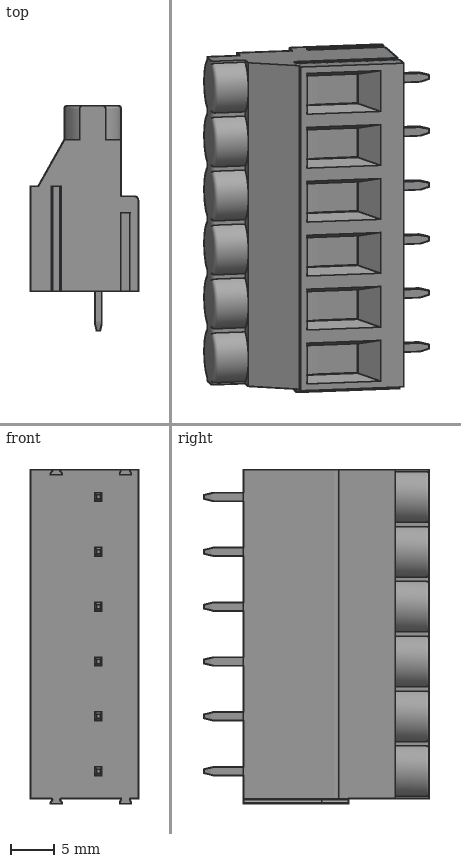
import cadquery as cq


pole_count = 6
pitch = 6.35
height = pole_count * pitch
pole_centres = [(i + 0.5) * pitch for i in range(pole_count)]

width = 12.5
shoulder_y = 12.2
slope_start_x = 0.9
head_base_y = 17.57
top_y = 21.5
back_step_y = 11.03
back_round = 0.5

head_radius = 3.3
head_back_x = 10.5
head_x = head_back_x - head_radius
head_front_x = head_x - head_radius
web_width = 3.0
head_round = 0.4

entry_low_y = 2.75
entry_high_y = 11.4
entry_height = 4.8
throat_low_y = 5.0
throat_height = 3.5
funnel_depth = 1.95
recess_depth = 2.45
ramp_low_y = 9.7

overall_height = 38.7
dovetail_depth = overall_height - height
lip_depth = 0.1
foot_depth = 0.15
front_dovetail_x = 2.98
front_mouth = 1.15
front_neck = 0.85
front_base = 1.35
back_dovetail_x = 11.0
back_mouth = 1.05
back_neck = 1.05
back_base = 1.35
back_dovetail_y = 9.1

pin_x = 7.85
pin_width = 0.8
pin_height = 1.0
pin_length = 4.55
tip_width = 0.43
tip_height = 0.45
width_taper = 0.8
height_taper = 1.12


def make_housing():
    return (
        cq.Workplane("XY")
        .lineTo(width, 0)
        .lineTo(width, back_step_y - back_round)
        .tangentArcPoint((-back_round, back_round))
        .lineTo(head_back_x, back_step_y)
        .lineTo(head_back_x, head_base_y)
        .lineTo(head_front_x, head_base_y)
        .lineTo(slope_start_x, shoulder_y)
        .lineTo(0, shoulder_y)
        .close()
        .extrude(height)
    )


def make_heads():
    head_height = top_y - head_base_y
    plane = cq.Workplane("XZ", origin=(0, head_base_y, 0))
    web = plane.center(head_x, height / 2).rect(web_width, height)
    heads = web.extrude(-head_height)
    for z in pole_centres:
        heads = heads.union(plane.center(head_x, z).circle(head_radius).extrude(-head_height))
    heads = heads.intersect(cq.Workplane("XY").box(width, top_y, height, centered=False))
    return heads.faces(">Y").edges("not |X").fillet(head_round)


def make_entry(z):
    throat_middle_y = (throat_low_y + entry_high_y) / 2
    entry_middle_y = (entry_low_y + entry_high_y) / 2
    funnel = (
        cq.Workplane("YZ", origin=(0, entry_middle_y, z))
        .rect(entry_high_y - entry_low_y, entry_height)
        .workplane(offset=funnel_depth)
        .center(throat_middle_y - entry_middle_y, 0)
        .rect(entry_high_y - throat_low_y, throat_height)
        .loft(ruled=True)
    )
    recess_outline = [
        (funnel_depth, throat_low_y),
        (recess_depth, throat_low_y),
        (recess_depth, ramp_low_y),
        (funnel_depth, entry_high_y),
    ]
    recess = (
        cq.Workplane("XY", origin=(0, 0, z - throat_height / 2))
        .polyline(recess_outline)
        .close()
        .extrude(throat_height)
    )
    return funnel.union(recess)


def make_dovetail(x, mouth, neck, base, length, face_z):
    """Dovetail bar hanging below the plane Z = face_z, running up from Y = 0.

    Its sides narrow from the mouth to the neck, flare out to the base and end in an upright foot.
    """
    neck_z = face_z - lip_depth
    end_z = face_z - dovetail_depth
    foot_z = end_z + foot_depth
    outline = [
        (x - mouth / 2, face_z),
        (x + mouth / 2, face_z),
        (x + neck / 2, neck_z),
        (x + base / 2, foot_z),
        (x + base / 2, end_z),
        (x - base / 2, end_z),
        (x - base / 2, foot_z),
        (x - neck / 2, neck_z),
    ]
    return cq.Workplane("XZ").polyline(outline).close().extrude(-length)


def tapered_outline(plane, middle, size, tip_size, taper):
    """Outline of a pin seen from one side: straight, then narrowing to its tip."""
    half = size / 2
    half_tip = tip_size / 2
    points = [
        (middle - half, 0),
        (middle - half, taper - pin_length),
        (middle - half_tip, -pin_length),
        (middle + half_tip, -pin_length),
        (middle + half, taper - pin_length),
        (middle + half, 0),
    ]
    return plane.polyline(points).close()


def make_pin(z):
    width_plane = cq.Workplane("XY", origin=(0, 0, z))
    height_plane = cq.Workplane(cq.Plane(origin=(pin_x, 0, 0), xDir=(0, 0, 1), normal=(-1, 0, 0)))
    in_width = tapered_outline(width_plane, pin_x, pin_width, tip_width, width_taper)
    in_height = tapered_outline(height_plane, z, pin_height, tip_height, height_taper)
    return in_width.extrude(pin_height / 2, both=True).intersect(
        in_height.extrude(pin_width / 2, both=True)
    )


result = make_housing().union(make_heads())

for pole_z in pole_centres:
    result = result.cut(make_entry(pole_z)).union(make_pin(pole_z))

dovetails = [
    (front_dovetail_x, front_mouth, front_neck, front_base, shoulder_y),
    (back_dovetail_x, back_mouth, back_neck, back_base, back_dovetail_y),
]
for dovetail_x, mouth_width, neck_width, base_width, dovetail_length in dovetails:
    rib = make_dovetail(dovetail_x, mouth_width, neck_width, base_width, dovetail_length, 0)
    groove = make_dovetail(dovetail_x, mouth_width, neck_width, base_width, dovetail_length, height)
    result = result.union(rib).cut(groove)